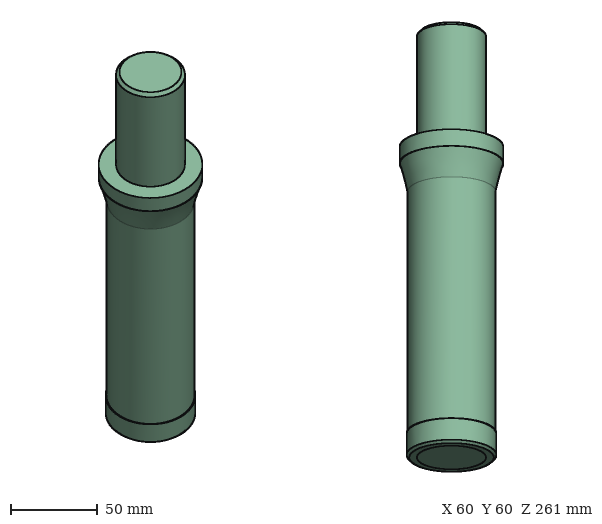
import cadquery as cq

total_height = 261.0

rod_radius = 40.0 / 2
rod_chamfer = 2.0

collar_radius = 30.0
body_radius = 51.0 / 2
foot_radius = 52.0 / 2
foot_height = 15.0
foot_chamfer = 1.5
flare_bottom = 163.5
flare_top = 180.5
collar_top = 190.8
flare_top_radius = 29.8
flare_sag = 0.3


def make_rod():
    """Plain round rod with a chamfered upper end, running through the sleeve."""
    rod = cq.Workplane("XY").circle(rod_radius).extrude(total_height)
    return rod.faces(">Z").chamfer(rod_chamfer)


def make_sleeve():
    """Turned sleeve with a chamfered foot, a hollow flare and a top collar."""
    flare_middle_radius = (body_radius + flare_top_radius) / 2 - flare_sag
    flare_middle = (flare_bottom + flare_top) / 2
    profile = (
        cq.Workplane("XZ")
        .moveTo(rod_radius, 0)
        .lineTo(foot_radius - foot_chamfer, 0)
        .lineTo(foot_radius, foot_chamfer)
        .lineTo(foot_radius, foot_height)
        .lineTo(body_radius, foot_height)
        .lineTo(body_radius, flare_bottom)
        .threePointArc((flare_middle_radius, flare_middle), (flare_top_radius, flare_top))
        .lineTo(collar_radius, flare_top)
        .lineTo(collar_radius, collar_top)
        .lineTo(rod_radius, collar_top)
        .close()
    )
    return profile.revolve(360, (0, 0, 0), (0, 1, 0))


rod = make_rod()
sleeve = make_sleeve()

result = cq.Compound.makeCompound([rod.val(), sleeve.val()])